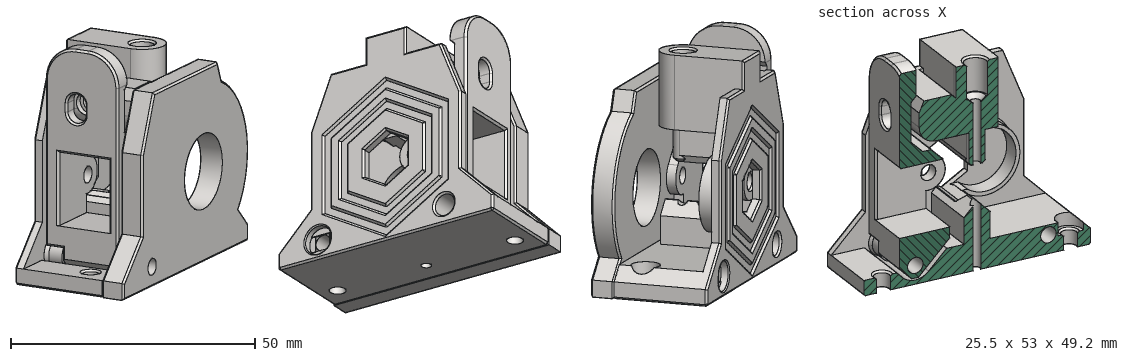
import cadquery as cq
import math

LENGTH = 53.0
HALF = LENGTH / 2
HOUSING_WIDTH = 20.35
TOTAL_WIDTH = 25.45
PLATE = 2.0
EDGE = 0.4
FOOT_TOP = 3.6
WAIST_HALF = 18.5
WAIST_BOTTOM = FOOT_TOP + HALF - WAIST_HALF
WAIST_TOP = 28.95
SHOULDER_HALF = 13.55
SHOULDER = 41.05

PIVOT_Y, PIVOT_Z = -14.4, 4.3
AXLE_Y, AXLE_Z = -5.85, 19.2
MOTOR_Y, MOTOR_Z = 7.35, 19.3
FILAMENT_X = 15.15
FILAMENT_D = 2.2
SCREW_D = 3.5
SCREW_Y, SCREW_Z = 16.65, 4.3

TAB_HALF = 5.0
TAB_TOP = 47.05
TUBE_D, TUBE_DEPTH = 5.0, 8.0
TUBE_CHAMFER = 0.4
FUNNEL_D = 4.3
BRIDGE_BOTTOM = 31.35
BRIDGE_FRONT = -SHOULDER_HALF
BRIDGE_ROUND = 4.0
FLOOR = 6.6
TROUGH_R, TROUGH_Z = 4.35, 5.4
BLOCK_TOP = 12.55
BLOCK_HALF = 3.15
BLOCK_END = 19.0
RIDGE_LOW, RIDGE_HIGH = 13.6, 15.45
RIDGE_START = 10.2
GUIDE_R = 2.04
GUIDE_SHOULDER, GUIDE_BOTTOM = 25.35, 23.9
GUIDE_BEVEL = 0.65
RING_D, RING_BORE_D = 16.0, 14.2
BOSS_END = 6.0
FLARE, FLARE_LENGTH = 0.35, 0.9
BOSS_D, PIVOT_BORE_D = 6.0, 4.7
SCREW_HEAD_D, SCREW_HEAD_DEPTH = 6.3, 1.6
SCREW_MOUTH = 0.25
STEP = 0.2
HEX_Z = 18.7
HEX_HOLE = 6.15
GROOVES = ((18.05, 15.8), (13.3, 11.15))
GROOVE_DEPTH = 0.5
MOUNT_Y = 21.85
MOUNT_HEAD_D = 6.0
SPRING_X, SPRING_Z = 9.75, 36.65
SPRING_D, SPRING_DEPTH = 5.0, 1.6
SPRING_HOLE_DEPTH = 4.25

LEVER_LEFT, LEVER_RIGHT = 2.55, 19.5
LEVER_FRONT = -18.2
LEVER_BOTTOM = 1.4
LEVER_TOP = 49.25
LEVER_CORNER = 7.0
LEVER_EDGE = 0.5
HANDLE_BACK, STEM_BACK = -14.2, -15.3
HANDLE_BOTTOM = 42.45
BODY_BACK, BODY_TOP = -10.7, 29.7
HEEL_BACK = -6.35
HEEL_START = 4.35
ARM_R = 4.0
WINDOW_LEFT, WINDOW_RIGHT = 5.65, 17.45
WINDOW_BOTTOM, WINDOW_TOP = 11.25, 26.85
NOTCH_RIGHT, NOTCH_TOP = 6.6, 6.65
BOSS_CLEARANCE_R = 4.0
SLOT_D, SLOT_TRAVEL = 4.3, 1.9

MOTOR_RIM_D = 2 * (HALF - MOTOR_Y)


def prism(points, x_start, x_end):
    """Closed (Y, Z) polygon extruded along X."""
    return cq.Workplane("YZ").workplane(offset=x_start).polyline(points).close().extrude(x_end - x_start)


def rod_x(diameter, y, z, x_start, x_end):
    return cq.Workplane("YZ").workplane(offset=x_start).center(y, z).circle(diameter / 2).extrude(x_end - x_start)


def rod_z(diameter, x, y, z_start, z_end):
    return cq.Workplane("XY").workplane(offset=z_start).center(x, y).circle(diameter / 2).extrude(z_end - z_start)


def box(x_range, y_range, z_range):
    (x0, x1), (y0, y1), (z0, z1) = x_range, y_range, z_range
    return cq.Workplane("XY").box(x1 - x0, y1 - y0, z1 - z0, centered=False).translate((x0, y0, z0))


def cone_x(d_start, d_end, y, z, x_start, x_end):
    length = x_end - x_start
    cone = cq.Solid.makeCone(d_start / 2, d_end / 2, length, cq.Vector(x_start, y, z), cq.Vector(1, 0, 0))
    return cq.Workplane(cone)


def cone_z(d_start, d_end, x, y, z_start, z_end):
    return cq.Workplane(cq.Solid.makeCone(d_start / 2, d_end / 2, z_end - z_start, cq.Vector(x, y, z_start)))


def side_points():
    """Plate outline from the shoulder's rear end round the foot to its front end."""
    rear = [
        (SHOULDER_HALF, SHOULDER),
        (WAIST_HALF, WAIST_TOP),
        (WAIST_HALF, WAIST_BOTTOM),
        (HALF, FOOT_TOP),
        (HALF, 0),
    ]
    front = [(-y, z) for y, z in reversed(rear)]
    return rear + front


def housing_plate():
    tab = [(-TAB_HALF, SHOULDER), (-TAB_HALF, TAB_TOP), (TAB_HALF, TAB_TOP), (TAB_HALF, SHOULDER)]
    plate = prism(side_points() + tab, 0, PLATE).edges("|X and <Z").chamfer(EDGE)
    return plate.faces("<X").edges().chamfer(EDGE)


def base():
    tangent = TROUGH_R * math.sqrt(0.5)
    tangent_z = TROUGH_Z - tangent
    front_lip = PIVOT_Y - tangent - (FOOT_TOP - tangent_z)
    rear_lip = PIVOT_Y + tangent + (FLOOR - tangent_z)
    return (
        cq.Workplane("YZ")
        .workplane(offset=EDGE)
        .moveTo(-HALF, 0)
        .lineTo(-HALF, FOOT_TOP)
        .lineTo(front_lip, FOOT_TOP)
        .lineTo(PIVOT_Y - tangent, tangent_z)
        .threePointArc((PIVOT_Y, TROUGH_Z - TROUGH_R), (PIVOT_Y + tangent, tangent_z))
        .lineTo(rear_lip, FLOOR)
        .lineTo(HALF + FOOT_TOP - FLOOR, FLOOR)
        .lineTo(HALF, FOOT_TOP)
        .lineTo(HALF, 0)
        .close()
        .extrude(HOUSING_WIDTH - EDGE)
        .edges("|X and <Z")
        .chamfer(EDGE)
    )


def bridge():
    """Beam behind the lever: sloped top front, rounded bottom front, chamfered top rear."""
    slope_drop, slope_run, rear_chamfer = 2.5, 1.1, 1.0
    rear = -TAB_HALF
    outline = [
        (BRIDGE_FRONT, BRIDGE_BOTTOM),
        (BRIDGE_FRONT, SHOULDER - slope_drop),
        (BRIDGE_FRONT + slope_run, SHOULDER),
        (rear - rear_chamfer, SHOULDER),
        (rear, SHOULDER - rear_chamfer),
        (rear, BRIDGE_BOTTOM),
    ]
    beam = prism(outline, PLATE / 2, HOUSING_WIDTH)
    return beam.edges("|X and <Y and <Z").fillet(BRIDGE_ROUND)


def tab():
    """Round-ended block that holds the filament tube."""
    block = box((PLATE / 2, FILAMENT_X), (-TAB_HALF, TAB_HALF), (BRIDGE_BOTTOM, TAB_TOP))
    return block.union(rod_z(2 * TAB_HALF, FILAMENT_X, 0, BRIDGE_BOTTOM, TAB_TOP))


def filament_guide():
    """Narrow block below the tab with a V-shaped underside and a round nose."""
    vee = [
        (-GUIDE_R, BRIDGE_BOTTOM),
        (-GUIDE_R, GUIDE_SHOULDER),
        (GUIDE_BEVEL - GUIDE_R, GUIDE_BOTTOM),
        (GUIDE_R - GUIDE_BEVEL, GUIDE_BOTTOM),
        (GUIDE_R, GUIDE_SHOULDER),
        (GUIDE_R, BRIDGE_BOTTOM),
    ]
    nose = rod_z(2 * GUIDE_R, FILAMENT_X, 0, GUIDE_BOTTOM, BRIDGE_BOTTOM).faces("<Z").chamfer(GUIDE_BEVEL)
    return prism(vee, PLATE / 2, FILAMENT_X).union(nose)


def roof_block(ridge, x_start):
    """Block with a 45 degree roof cut flat at the height of the ridge."""
    ridge_half = BLOCK_HALF - (ridge - BLOCK_TOP)
    outline = [
        (-BLOCK_HALF, FOOT_TOP),
        (-BLOCK_HALF, BLOCK_TOP),
        (-ridge_half, ridge),
        (ridge_half, ridge),
        (BLOCK_HALF, BLOCK_TOP),
        (BLOCK_HALF, FOOT_TOP),
    ]
    return prism(outline, x_start, BLOCK_END)


def filament_ridge():
    """Filament block: low with a hexagonal channel at the plate, then a 45 degree ramp up to the ridge."""
    ramp_start = RIDGE_START - (RIDGE_LOW - BLOCK_TOP)
    ramp_end = RIDGE_START + (RIDGE_HIGH - RIDGE_LOW)
    above_ramp = (
        cq.Workplane("XZ")
        .polyline([(ramp_start, BLOCK_TOP), (ramp_start, RIDGE_HIGH), (ramp_end, RIDGE_HIGH)])
        .close()
        .extrude(BLOCK_HALF, both=True)
    )
    low_part = roof_block(RIDGE_LOW, PLATE / 2).cut(hexagon(HEX_HOLE, RIDGE_START))
    return low_part.union(roof_block(RIDGE_HIGH, ramp_start).cut(above_ramp))


def boss(diameter, y, z):
    """Round boss on the plate's inner face with a flared foot."""
    foot = cone_x(diameter + 2 * FLARE, diameter, y, z, PLATE, PLATE + FLARE_LENGTH)
    return rod_x(diameter, y, z, PLATE / 2, BOSS_END).union(foot)


def gear_bore():
    """Space inside the ring, opened towards the filament and the idler."""
    bore = rod_x(RING_BORE_D, MOTOR_Y, MOTOR_Z, PLATE, BOSS_END)
    mouth = box((PLATE, BOSS_END), (-HALF, MOTOR_Y), (RIDGE_LOW, GUIDE_BOTTOM))
    return bore.union(mouth)


def hexagon(circumradius, depth, taper=0):
    """Pointed-up hexagonal prism sunk from the plate's outer face."""
    corners = [
        (circumradius * math.sin(math.radians(60 * i)), circumradius * math.cos(math.radians(60 * i)))
        for i in range(6)
    ]
    return cq.Workplane("YZ").center(0, HEX_Z).polyline(corners).close().extrude(depth, taper=taper)


def hex_groove(outer, inner):
    """Hexagonal groove whose walls lean at 45 degrees and widen the mouth."""
    inner_at_face = inner - GROOVE_DEPTH / math.cos(math.radians(30))
    return hexagon(outer, GROOVE_DEPTH, 45).cut(hexagon(inner_at_face, GROOVE_DEPTH, -45))


def hex_hole():
    mouth = hexagon(HEX_HOLE + EDGE / math.cos(math.radians(30)), EDGE, 45)
    return hexagon(HEX_HOLE, PLATE).union(mouth)


def screw_hole():
    """Screw hole whose head seat steps down through a slot and a square to the round hole."""
    mouth_d = SCREW_HEAD_D + 2 * SCREW_MOUTH
    half = SCREW_D / 2
    head = rod_x(SCREW_HEAD_D, SCREW_Y, SCREW_Z, 0, SCREW_HEAD_DEPTH)
    mouth = cone_x(mouth_d, SCREW_HEAD_D, SCREW_Y, SCREW_Z, 0, SCREW_MOUTH)
    z_range = (SCREW_Z - half, SCREW_Z + half)
    slot = box((0, SCREW_HEAD_DEPTH + STEP), (SCREW_Y - HALF, SCREW_Y + HALF), z_range)
    slot = slot.intersect(rod_x(SCREW_HEAD_D, SCREW_Y, SCREW_Z, 0, SCREW_HEAD_DEPTH + STEP))
    square = box((0, SCREW_HEAD_DEPTH + 2 * STEP), (SCREW_Y - half, SCREW_Y + half), z_range)
    shank = rod_x(SCREW_D, SCREW_Y, SCREW_Z, 0, HOUSING_WIDTH)
    return head.union(mouth).union(slot).union(square).union(shank)


def pivot_bore():
    mouth = cone_x(PIVOT_BORE_D + 2 * EDGE, PIVOT_BORE_D, PIVOT_Y, PIVOT_Z, 0, EDGE)
    return rod_x(PIVOT_BORE_D, PIVOT_Y, PIVOT_Z, 0, BOSS_END).union(mouth)


def mounting_hole(y, top):
    """Vertical hole through a foot, chamfered at its upper end."""
    mouth = cone_z(SCREW_D, SCREW_D + 2 * EDGE, FILAMENT_X, y, top - EDGE, top)
    return rod_z(SCREW_D, FILAMENT_X, y, 0, top).union(mouth)


def filament_path():
    tube_bottom = TAB_TOP - TUBE_DEPTH
    cone_height = (FUNNEL_D - FILAMENT_D) / 2
    tube = rod_z(TUBE_D, FILAMENT_X, 0, tube_bottom, TAB_TOP)
    mouth = cone_z(TUBE_D, TUBE_D + 2 * TUBE_CHAMFER, FILAMENT_X, 0, TAB_TOP - TUBE_CHAMFER, TAB_TOP)
    funnel = cone_z(FILAMENT_D, FUNNEL_D, FILAMENT_X, 0, tube_bottom - cone_height, tube_bottom)
    return rod_z(FILAMENT_D, FILAMENT_X, 0, 0, TAB_TOP).union(tube).union(mouth).union(funnel)


def spring_seat():
    """Stepped blind hole in the bridge's front face, its end leaning forward at 45 degrees."""
    plane = cq.Workplane("XZ", origin=(SPRING_X, BRIDGE_FRONT, SPRING_Z))
    seat = plane.circle(SPRING_D / 2).extrude(-SPRING_DEPTH)
    hole = plane.circle(SCREW_D / 2).extrude(-SPRING_HOLE_DEPTH)
    end_y = BRIDGE_FRONT + SPRING_HOLE_DEPTH
    low, high = SPRING_Z - SCREW_D / 2, SPRING_Z + SCREW_D / 2
    beyond_end = prism([(end_y, low), (end_y, high), (end_y - SCREW_D, high)], 0, HOUSING_WIDTH)
    return seat.union(hole.cut(beyond_end))


def make_housing():
    ring = boss(RING_D, MOTOR_Y, MOTOR_Z)
    body = housing_plate().union(base()).union(bridge()).union(tab())
    body = body.union(filament_guide()).union(filament_ridge()).union(ring).cut(gear_bore())
    body = body.union(boss(BOSS_D, PIVOT_Y, PIVOT_Z))
    for outer, inner in GROOVES:
        body = body.cut(hex_groove(outer, inner))
    body = body.cut(hex_hole()).cut(screw_hole()).cut(pivot_bore())
    body = body.cut(mounting_hole(-MOUNT_Y, FOOT_TOP)).cut(mounting_hole(MOUNT_Y, FOOT_TOP))
    body = body.cut(rod_z(MOUNT_HEAD_D, FILAMENT_X, MOUNT_Y, FOOT_TOP, FLOOR))
    return body.cut(filament_path()).cut(spring_seat())


def lever_side():
    """Lever seen along X: heel, arms with round ends, stem and thicker handle."""
    heel = HEEL_START - LEVER_BOTTOM
    diagonal = ARM_R * math.sqrt(0.5)
    tip_y = AXLE_Y + diagonal
    back_run = tip_y - BODY_BACK
    step_run = STEM_BACK - BODY_BACK
    step_flat = 2.0
    return (
        cq.Workplane("YZ")
        .workplane(offset=LEVER_LEFT)
        .moveTo(LEVER_FRONT, LEVER_TOP)
        .lineTo(LEVER_FRONT, HEEL_START)
        .lineTo(LEVER_FRONT + heel, LEVER_BOTTOM)
        .lineTo(BODY_BACK - heel, LEVER_BOTTOM)
        .lineTo(HEEL_BACK, HEEL_START + HEEL_BACK - BODY_BACK)
        .lineTo(HEEL_BACK, AXLE_Z - ARM_R)
        .lineTo(AXLE_Y, AXLE_Z - ARM_R)
        .threePointArc((AXLE_Y + ARM_R, AXLE_Z), (tip_y, AXLE_Z + diagonal))
        .lineTo(BODY_BACK, AXLE_Z + diagonal + back_run)
        .lineTo(BODY_BACK, BODY_TOP)
        .lineTo(BODY_BACK - step_flat, BODY_TOP)
        .lineTo(STEM_BACK, BODY_TOP - step_run - step_flat)
        .lineTo(STEM_BACK, HANDLE_BOTTOM + STEM_BACK - HANDLE_BACK)
        .lineTo(HANDLE_BACK, HANDLE_BOTTOM)
        .lineTo(HANDLE_BACK, LEVER_TOP)
        .close()
        .extrude(LEVER_RIGHT - LEVER_LEFT)
    )


def lever_front():
    """Lever seen along Y: rounded top, corner notch, window and spring-screw slot."""
    outline = [
        (NOTCH_RIGHT, 0),
        (NOTCH_RIGHT, NOTCH_TOP),
        (LEVER_LEFT, NOTCH_TOP),
        (LEVER_LEFT, LEVER_TOP),
        (LEVER_RIGHT, LEVER_TOP),
        (LEVER_RIGHT, 0),
    ]
    plane = cq.Workplane("XZ", origin=(0, LEVER_FRONT, 0))
    depth = AXLE_Y + ARM_R - LEVER_FRONT
    plate = plane.polyline(outline).close().extrude(-depth)
    plate = plate.edges("|Y and >Z").fillet(LEVER_CORNER)
    plate = plate.faces("<Y").edges().chamfer(LEVER_EDGE)

    y_range = (LEVER_FRONT, LEVER_FRONT + depth)
    window = box((WINDOW_LEFT, WINDOW_RIGHT), y_range, (WINDOW_BOTTOM, WINDOW_TOP))
    mouth_box = cq.selectors.BoxSelector(
        (WINDOW_LEFT - 0.55, LEVER_FRONT - 0.55, WINDOW_BOTTOM + 0.55),
        (WINDOW_RIGHT + 0.55, LEVER_FRONT + 0.55, WINDOW_TOP + 0.55),
    )
    plate = plate.cut(window).edges(mouth_box).chamfer(LEVER_EDGE)

    slot_plane = plane.center(SPRING_X, SPRING_Z)
    slot = slot_plane.slot2D(SLOT_D + SLOT_TRAVEL, SLOT_D, 90).extrude(-depth)
    mouth_d = SLOT_D + 2 * EDGE
    mouth = slot_plane.slot2D(mouth_d + SLOT_TRAVEL, mouth_d, 90).extrude(-EDGE, taper=45)
    return plate.cut(slot).cut(mouth)


def axle_hole():
    chamfer = 0.35
    mouth_d = SCREW_D + 2 * chamfer
    hole = rod_x(SCREW_D, AXLE_Y, AXLE_Z, LEVER_LEFT, LEVER_RIGHT)
    return hole.union(cone_x(mouth_d, SCREW_D, AXLE_Y, AXLE_Z, LEVER_LEFT, LEVER_LEFT + chamfer))


def make_lever():
    body = lever_side().intersect(lever_front())
    body = body.cut(rod_x(2 * BOSS_CLEARANCE_R, PIVOT_Y, PIVOT_Z, LEVER_LEFT, NOTCH_RIGHT))
    return body.cut(rod_x(SCREW_D, PIVOT_Y, PIVOT_Z, NOTCH_RIGHT, LEVER_RIGHT)).cut(axle_hole())


def make_motor_plate():
    plate = prism(side_points(), HOUSING_WIDTH, TOTAL_WIDTH)
    rim = rod_x(MOTOR_RIM_D, MOTOR_Y, MOTOR_Z, HOUSING_WIDTH, TOTAL_WIDTH)
    body = plate.union(rim).faces("<X or >X").edges().chamfer(EDGE)
    shaft_bore = rod_x(RING_D, MOTOR_Y, MOTOR_Z, HOUSING_WIDTH, TOTAL_WIDTH)
    pivot_hole = rod_x(SCREW_D, PIVOT_Y, PIVOT_Z, HOUSING_WIDTH, TOTAL_WIDTH)
    return body.cut(shaft_bore).cut(pivot_hole)


housing = make_housing()
lever = make_lever()
motor_plate = make_motor_plate()
result = cq.Compound.makeCompound([housing.val(), lever.val(), motor_plate.val()])